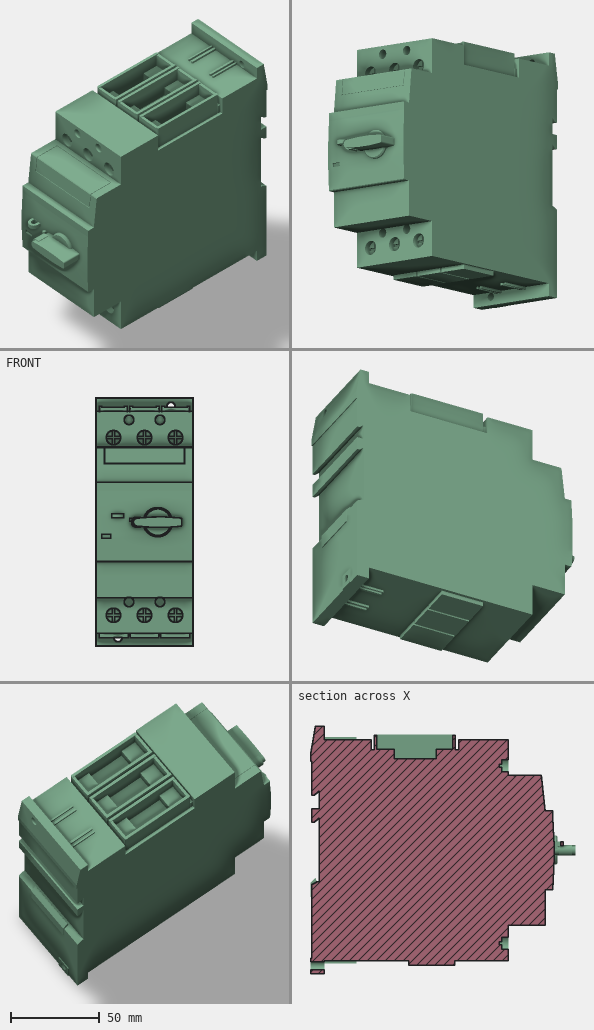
import cadquery as cq


WIDTH = 54.8
DEPTH = 149.4
HEIGHT = 140.0

BACK = 0.6
FOOT_FRONT = 7.9
BASE_FRONT = 25.8
HOUSING_FRONT = 111.8
HOUSING_BOTTOM = 7.3
HOUSING_TOP = 132.4
RAIL_DEPTH = 4.8
UPPER_NOTCH_TOP = 100.7
UPPER_NOTCH_BOTTOM = 93.5
LOWER_NOTCH_TOP = 85.5
LOWER_NOTCH_BOTTOM = 52.1
HOOK_LIP = 2.1
HOOK_RISE = 2.2
NOTCH_SILL = 3.6
NOTCH_SLOPE_DROP = 1.6
FOOT_TIP = 2.7
BULGE_TOP = 124.2
BULGE_BOTTOM = 119.8

COVER_TOP = 112.3
COVER_BOTTOM = 27.3
COVER_TOP_DEPTH = 130.3
COVER_FRONT = 132.4
PANEL_TOP = 92.3
PANEL_BOTTOM = 47.5
PANEL_DEPTH = 136.7
CROWN_TOP = 87.7
CROWN_DEPTH = 137.5
COVER_BEVEL = 0.5

POLE_PITCH = 17.5
POLES = (-POLE_PITCH, 0.0, POLE_PITCH)
GAPS = (-POLE_PITCH / 2, POLE_PITCH / 2)

FOOT_HOLE_X = 15.0
FOOT_HOLE_RADIUS = 2.2
FOOT_HOLE_INSET = 4.8
PAD_HEIGHT = 9.1
PAD_WIDTH = 9.0

LATCH_WIDTH = 29.9
LATCH_BOTTOM = 43.6
LATCH_SHOULDER = 51.5
LATCH_TIP = 54.4
LATCH_TIP_DEPTH = 2.8

INNER_RIB = (6.9, 8.2)
OUTER_RIB = (9.7, 10.6)
RIB_HEIGHT = 1.3

RECESS_BACK = 34.4
RECESS_FRONT = 83.4
RECESS_FLOOR = 121.5
STRIP_TOP = 126.7
BLOCK_BACK = 35.9
BLOCK_FRONT = 81.7
BLOCK_TOP = 135.2
UPPER_MIDDLE_WIDTH = 16.5
UPPER_GAP = 1.5
BLOCK_WALL = 1.6
BLOCK_BEVEL = 0.5
BLOCK_SPAN = 51.2
END_WALL_DROP = 0.5
LEDGE_BACK = 47.5
LEDGE_FRONT = 70.7
LEDGE_TOP = 127.0
POCKET_FLOOR = 121.5

LOWER_BLOCK_BACK = 55.3
LOWER_BLOCK_FRONT = 81.4
LOWER_BLOCK_BOTTOM = 4.8
LOWER_MIDDLE_WIDTH = 16.1
LOWER_GAP = 1.2

UPPER_SCREW_Z = 117.6
LOWER_SCREW_Z = 17.5
SCREW_RADIUS = 4.0
SCREW_SINK = 3.7
SCREW_SLOT_WIDTH = 1.5
SCREW_SLOT_DEPTH = 1.5
TEST_HOLE_RADIUS = 2.7
UPPER_TEST_Z = 127.6
LOWER_TEST_Z = 25.0
TEST_HOLE_SINK = 6.0

WINDOW_WIDTH = 45.1
WINDOW_BACK = 114.7
WINDOW_BOTTOM = 102.8
WINDOW_GROOVE = 0.3

SWITCH_X = 7.5
SWITCH_Z = 69.9
DIAL_RADIUS = 8.2
DIAL_FRONT = 139.2
DIAL_BEVEL = 0.7
LEVER_LEFT = -6.3
LEVER_RIGHT = 20.9
LEVER_HALF = 3.0
LEVER_END_HALF = 2.2
LEVER_CORNER = 0.7
SLEEVE_X = -4.5
SLEEVE_RADIUS = 2.8
SLEEVE_RIGHT = -2.4
SLEEVE_BACK = 140.0
SLEEVE_FRONT = 147.3
POINTER_LEFT = -8.4
POINTER_RIGHT = -6.5
POINTER_BOTTOM = 70.5
POINTER_TOP = 72.2

EYE_X = -15.1
EYE_Z = 73.5
EYE_DEPTH = 139.4
EYE_RADIUS = 3.3
EYE_HOLE_RADIUS = 1.6
EYE_THICKNESS = 2.4
FIELD_LEFT = -24.0
FIELD_RIGHT = -19.0
FIELD_BOTTOM = 60.8
FIELD_TOP = 63.0
FIELD_SINK = 0.5


def box(left, right, back, front, bottom, top):
    """Box between two X values, two depths and two heights."""
    size = (right - left, front - back, top - bottom)
    return cq.Workplane("XY").box(*size, centered=False).translate((left, -front, bottom))


def rod(x, z, radius, back, front):
    """Cylinder along Y between two depths."""
    plane = cq.Workplane("XZ", origin=(0, -back, 0))
    return plane.center(x, z).circle(radius).extrude(front - back)


def side_profile():
    """Sketch plane at the middle of the width: its first axis is Y and its second is Z."""
    return cq.Workplane("YZ")


def base_and_housing():
    outline = [
        (-FOOT_TIP, HEIGHT),
        (0, BULGE_TOP),
        (0, BULGE_BOTTOM),
        (-BACK, BULGE_BOTTOM),
        (-BACK, UPPER_NOTCH_TOP),
        (-HOOK_LIP, UPPER_NOTCH_TOP),
        (-RAIL_DEPTH, UPPER_NOTCH_TOP + HOOK_RISE),
        (-RAIL_DEPTH, UPPER_NOTCH_BOTTOM),
        (-BACK, UPPER_NOTCH_BOTTOM),
        (-BACK, LOWER_NOTCH_TOP),
        (-HOOK_LIP, LOWER_NOTCH_TOP),
        (-RAIL_DEPTH, LOWER_NOTCH_TOP + HOOK_RISE),
        (-RAIL_DEPTH, LOWER_NOTCH_BOTTOM),
        (-NOTCH_SILL, LOWER_NOTCH_BOTTOM),
        (-BACK, LOWER_NOTCH_BOTTOM - NOTCH_SLOPE_DROP),
        (-BACK, 0),
        (-FOOT_FRONT, 0),
        (-FOOT_FRONT, HOUSING_BOTTOM),
        (-HOUSING_FRONT, HOUSING_BOTTOM),
        (-HOUSING_FRONT, HOUSING_TOP),
        (-FOOT_FRONT, HOUSING_TOP),
        (-FOOT_FRONT, HEIGHT),
    ]
    return side_profile().polyline(outline).close().extrude(WIDTH / 2, both=True)


def latch():
    outline = [
        (0, LATCH_BOTTOM),
        (0, LATCH_SHOULDER),
        (-LATCH_TIP_DEPTH, LATCH_TIP),
        (-NOTCH_SILL, LOWER_NOTCH_BOTTOM),
        (-RAIL_DEPTH, LATCH_BOTTOM),
    ]
    return side_profile().polyline(outline).close().extrude(LATCH_WIDTH / 2, both=True)


def cover():
    crown_bottom = PANEL_BOTTOM + COVER_BEVEL
    crown_middle = (CROWN_TOP + crown_bottom) / 2
    profile = (
        side_profile()
        .moveTo(-HOUSING_FRONT, COVER_BOTTOM)
        .lineTo(-COVER_FRONT, COVER_BOTTOM)
        .lineTo(-COVER_FRONT, PANEL_BOTTOM)
        .lineTo(-PANEL_DEPTH + COVER_BEVEL, PANEL_BOTTOM)
        .lineTo(-PANEL_DEPTH, crown_bottom)
        .threePointArc((-CROWN_DEPTH, crown_middle), (-PANEL_DEPTH, CROWN_TOP))
        .lineTo(-PANEL_DEPTH, PANEL_TOP)
        .lineTo(-COVER_FRONT, PANEL_TOP)
        .lineTo(-COVER_TOP_DEPTH, COVER_TOP - COVER_BEVEL)
        .lineTo(-COVER_TOP_DEPTH + COVER_BEVEL, COVER_TOP)
        .lineTo(-HOUSING_FRONT, COVER_TOP)
        .close()
    )
    return profile.extrude(WIDTH / 2, both=True)


def window_prism(inset, sink):
    """Label window from its back edge round the cover's top corner and down the sloping front.

    The window is narrowed by inset on every side and its surface lies sink below the cover.
    """
    slope = (COVER_FRONT - COVER_TOP_DEPTH) / (COVER_TOP - COVER_BEVEL - PANEL_TOP)
    bottom = WINDOW_BOTTOM + inset
    bottom_depth = COVER_TOP_DEPTH + slope * (COVER_TOP - COVER_BEVEL - bottom)
    outline = [
        (-WINDOW_BACK - inset, bottom),
        (-WINDOW_BACK - inset, COVER_TOP - sink),
        (-COVER_TOP_DEPTH + COVER_BEVEL + sink, COVER_TOP - sink),
        (-COVER_TOP_DEPTH + sink, COVER_TOP - COVER_BEVEL - sink),
        (-bottom_depth + sink, bottom),
    ]
    return side_profile().polyline(outline).close().extrude(WINDOW_WIDTH / 2 - inset, both=True)


def window_groove():
    """Narrow groove around the label window."""
    frame = window_prism(0, 0).cut(window_prism(WINDOW_GROOVE, 0))
    return frame.cut(window_prism(0, WINDOW_GROOVE))


def rib_pairs():
    """Pairs of ribs between the poles, above and below the base."""
    ribs = cq.Workplane("XY")
    for near, far in (INNER_RIB, OUTER_RIB):
        for left, right in ((-far, -near), (near, far)):
            ribs = ribs.union(box(left, right, FOOT_FRONT, BASE_FRONT,
                                  HOUSING_TOP, HOUSING_TOP + RIB_HEIGHT))
            ribs = ribs.union(box(left, right, FOOT_FRONT, BASE_FRONT,
                                  HOUSING_BOTTOM - RIB_HEIGHT, HOUSING_BOTTOM))
    return ribs


def block_sides(middle_width, gap):
    """Left and right X of the three terminal blocks in a row."""
    outer = BLOCK_SPAN / 2
    inner = middle_width / 2
    return (
        (-outer, -inner - gap),
        (-inner, inner),
        (inner + gap, outer),
    )


def upper_block(left, right):
    """Open-topped terminal block with a ledge at each end of its pocket."""
    inner_left = left + BLOCK_WALL
    inner_right = right - BLOCK_WALL
    inner_back = BLOCK_BACK + BLOCK_WALL
    inner_front = BLOCK_FRONT - BLOCK_WALL
    block = box(left, right, BLOCK_BACK, BLOCK_FRONT, RECESS_FLOOR, BLOCK_TOP)
    if left < -POLE_PITCH:
        block = block.edges("|Z and <X").chamfer(BLOCK_BEVEL)
    if right > POLE_PITCH:
        block = block.edges("|Z and >X").chamfer(BLOCK_BEVEL)
    end_walls = box(inner_left, inner_right, BLOCK_BACK, BLOCK_FRONT,
                    BLOCK_TOP - END_WALL_DROP, BLOCK_TOP)
    pocket = box(inner_left, inner_right, inner_back, inner_front, LEDGE_TOP, BLOCK_TOP)
    well = box(inner_left, inner_right, LEDGE_BACK, LEDGE_FRONT, POCKET_FLOOR, BLOCK_TOP)
    return block.cut(end_walls).cut(pocket).cut(well)


def screw_recess(x, z):
    """Sunk screw head with a cross slot."""
    slot_back = HOUSING_FRONT - SCREW_SINK - SCREW_SLOT_DEPTH
    half = SCREW_SLOT_WIDTH / 2
    hole = rod(x, z, SCREW_RADIUS, HOUSING_FRONT - SCREW_SINK, HOUSING_FRONT)
    upright = box(x - half, x + half, slot_back, HOUSING_FRONT, z - SCREW_RADIUS, z + SCREW_RADIUS)
    level = box(x - SCREW_RADIUS, x + SCREW_RADIUS, slot_back, HOUSING_FRONT, z - half, z + half)
    cross = upright.union(level).intersect(rod(x, z, SCREW_RADIUS, slot_back, HOUSING_FRONT))
    return hole.union(cross)


def lever():
    round_start = LEVER_LEFT + LEVER_END_HALF
    middle = (round_start + LEVER_RIGHT) / 2
    outline = (
        cq.Workplane("XZ", origin=(0, -PANEL_DEPTH, SWITCH_Z))
        .moveTo(round_start, LEVER_END_HALF)
        .threePointArc((LEVER_LEFT, 0), (round_start, -LEVER_END_HALF))
        .threePointArc((middle, -LEVER_HALF), (LEVER_RIGHT, -LEVER_END_HALF))
        .lineTo(LEVER_RIGHT, LEVER_END_HALF)
        .threePointArc((middle, LEVER_HALF), (round_start, LEVER_END_HALF))
        .close()
    )
    return outline.extrude(DEPTH - PANEL_DEPTH).edges("|Y and >X").fillet(LEVER_CORNER)


def lever_sleeve():
    """Round-ended sleeve around the left end of the lever."""
    round_end = rod(SLEEVE_X, SWITCH_Z, SLEEVE_RADIUS, SLEEVE_BACK, SLEEVE_FRONT)
    flat_side = box(SLEEVE_X, SLEEVE_RIGHT, SLEEVE_BACK, SLEEVE_FRONT,
                    SWITCH_Z - SLEEVE_RADIUS, SWITCH_Z + SLEEVE_RADIUS)
    return round_end.union(flat_side)


def rotary_switch():
    dial = rod(SWITCH_X, SWITCH_Z, DIAL_RADIUS, PANEL_DEPTH, DIAL_FRONT)
    dial = dial.faces("<Y").chamfer(DIAL_BEVEL)
    pointer = box(POINTER_LEFT, POINTER_RIGHT, PANEL_DEPTH, DIAL_FRONT, POINTER_BOTTOM, POINTER_TOP)
    return dial.union(lever()).union(lever_sleeve()).union(pointer)


def sealing_eye():
    half = EYE_THICKNESS / 2
    plane = cq.Workplane("XY", origin=(EYE_X, -EYE_DEPTH, EYE_Z - half))
    ring = plane.circle(EYE_RADIUS).extrude(EYE_THICKNESS)
    stem = box(EYE_X - EYE_RADIUS, EYE_X + EYE_RADIUS, PANEL_DEPTH, EYE_DEPTH,
               EYE_Z - half, EYE_Z + half)
    hole = plane.circle(EYE_HOLE_RADIUS).extrude(EYE_THICKNESS)
    opening = box(EYE_X - EYE_HOLE_RADIUS, EYE_X + EYE_HOLE_RADIUS, CROWN_DEPTH, EYE_DEPTH,
                  EYE_Z - half, EYE_Z + half)
    return ring.union(stem).cut(hole).cut(opening)


result = base_and_housing().union(latch())
result = result.union(box(-FOOT_HOLE_X - PAD_WIDTH / 2, -FOOT_HOLE_X + PAD_WIDTH / 2,
                          0, FOOT_FRONT, 0, PAD_HEIGHT))
result = result.union(rib_pairs())

for x, z in ((FOOT_HOLE_X, HEIGHT - FOOT_HOLE_INSET), (-FOOT_HOLE_X, FOOT_HOLE_INSET)):
    result = result.cut(rod(x, z, FOOT_HOLE_RADIUS, 0, FOOT_FRONT))

result = result.cut(box(-WIDTH / 2, WIDTH / 2, RECESS_BACK, RECESS_FRONT, RECESS_FLOOR, HOUSING_TOP))
result = result.union(box(-BLOCK_SPAN / 2, BLOCK_SPAN / 2, RECESS_BACK, BLOCK_BACK,
                          RECESS_FLOOR, STRIP_TOP))
result = result.union(box(-BLOCK_SPAN / 2, BLOCK_SPAN / 2, BLOCK_FRONT, RECESS_FRONT,
                          RECESS_FLOOR, STRIP_TOP))
for left, right in block_sides(UPPER_MIDDLE_WIDTH, UPPER_GAP):
    result = result.union(upper_block(left, right))
for left, right in block_sides(LOWER_MIDDLE_WIDTH, LOWER_GAP):
    result = result.union(box(left, right, LOWER_BLOCK_BACK, LOWER_BLOCK_FRONT,
                              LOWER_BLOCK_BOTTOM, HOUSING_BOTTOM))

for x in POLES:
    result = result.cut(screw_recess(x, UPPER_SCREW_Z))
    result = result.cut(screw_recess(x, LOWER_SCREW_Z))
for x in GAPS:
    for z in (UPPER_TEST_Z, LOWER_TEST_Z):
        result = result.cut(rod(x, z, TEST_HOLE_RADIUS, HOUSING_FRONT - TEST_HOLE_SINK, HOUSING_FRONT))

result = result.union(cover()).cut(window_groove())
result = result.cut(box(FIELD_LEFT, FIELD_RIGHT, PANEL_DEPTH - FIELD_SINK, CROWN_DEPTH,
                        FIELD_BOTTOM, FIELD_TOP))
result = result.union(rotary_switch()).union(sealing_eye())